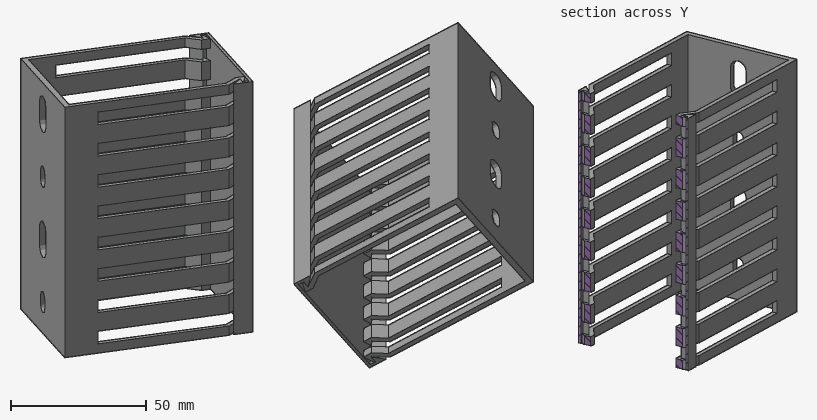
import cadquery as cq

WIDTH = 49.0
DEPTH = 73.3
LENGTH = 100.0
HALF_WIDTH = WIDTH / 2
BACK_Y = DEPTH / 2
FRONT_Y = -DEPTH / 2

COVER_WALL = 1.2
FLANGE_DEPTH = 7.5
LEDGE_DEPTH = 3.6
LEDGE_REACH = 4.0

FLOOR_WALL = 2.4
SIDE_WALL_FLOOR = 2.1
SIDE_WALL_NECK = 1.8
OUTER_BEND_DEPTH = 9.3
INNER_BEND_DEPTH = 9.8

HOOK_REACH = 5.6
HOOK_INNER_DEPTH = 4.8
BARB_DEPTH = 3.0

SIDE_SLOT_COUNT = 8
SIDE_SLOT_PITCH = LENGTH / SIDE_SLOT_COUNT
SIDE_SLOT_HEIGHT = 5.0
SIDE_SLOT_START = 13.0

HOLE_PITCH = 25.0
LARGE_HOLE_SIZE = (14.0, 7.0)
SMALL_HOLE_SIZE = (8.1, 4.5)
HOLE_SIZES = [LARGE_HOLE_SIZE, SMALL_HOLE_SIZE, LARGE_HOLE_SIZE, SMALL_HOLE_SIZE]


def left_point(inset, depth):
    """Section point, inset from the left side and set below the cover's outer face."""
    return (inset - HALF_WIDTH, BACK_Y - depth)


def symmetric_extrusion(left_half):
    """Extrude the section made of left_half and its mirror image along the full length."""
    right_half = [(-x, y) for x, y in reversed(left_half)]
    return cq.Workplane("XY").polyline(left_half + right_half).close().extrude(LENGTH)


def make_cover():
    return symmetric_extrusion([
        left_point(HALF_WIDTH / 2, COVER_WALL),
        left_point(COVER_WALL, COVER_WALL),
        left_point(COVER_WALL, LEDGE_DEPTH),
        left_point(LEDGE_REACH, LEDGE_DEPTH),
        left_point(0, FLANGE_DEPTH),
        left_point(0, 0),
    ])


def make_duct_shell():
    return symmetric_extrusion([
        left_point(0, DEPTH),
        left_point(0, OUTER_BEND_DEPTH),
        left_point(LEDGE_REACH, LEDGE_DEPTH),
        left_point(COVER_WALL, LEDGE_DEPTH),
        left_point(COVER_WALL, BARB_DEPTH),
        left_point(HOOK_REACH, COVER_WALL),
        left_point(HOOK_REACH, HOOK_INNER_DEPTH),
        left_point(SIDE_WALL_NECK, INNER_BEND_DEPTH),
        left_point(SIDE_WALL_FLOOR, DEPTH - FLOOR_WALL),
    ])


def make_side_slots():
    """Cutters through both side walls, open at the hook end."""
    slot_length = DEPTH - SIDE_SLOT_START
    centres = [(0, (i + 0.5) * SIDE_SLOT_PITCH) for i in range(SIDE_SLOT_COUNT)]
    return (
        cq.Workplane("XZ", origin=(0, FRONT_Y + SIDE_SLOT_START, 0))
        .pushPoints(centres)
        .rect(WIDTH, SIDE_SLOT_HEIGHT)
        .extrude(-slot_length)
    )


def make_floor_hole(index, size):
    """Cutter for one upright mounting hole, counted from the top end."""
    height, width = size
    centre_z = LENGTH - (index + 0.5) * HOLE_PITCH
    return (
        cq.Workplane("XZ", origin=(0, FRONT_Y, 0))
        .center(0, centre_z)
        .slot2D(height, width, 90)
        .extrude(-FLOOR_WALL)
    )


def make_duct():
    duct = make_duct_shell().cut(make_side_slots())
    for index, size in enumerate(HOLE_SIZES):
        duct = duct.cut(make_floor_hole(index, size))
    return duct


cover = make_cover()
duct = make_duct()

result = cq.Compound.makeCompound([cover.val(), duct.val()])